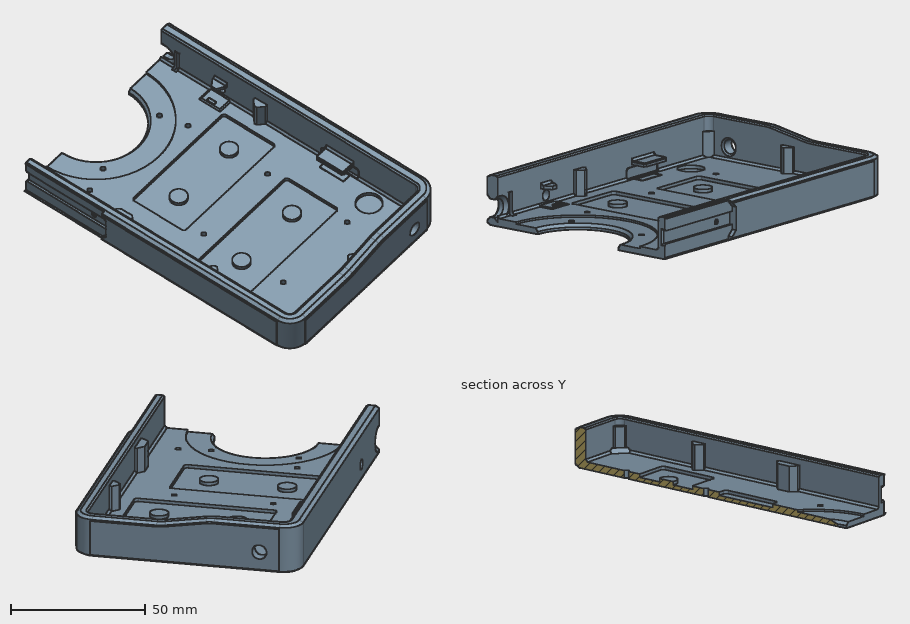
import cadquery as cq
import math

LENGTH = 129.2
WIDTH = 87.2
HIGH_TOP = 19.3
LOW_TOP = 16.0
PANEL_RAISE = 0.5
CORNER_RADIUS = 7.5
RAMP_HALF_LENGTH = 9.4
RAMP_BLEND_RADIUS = 19.0
EDGE_BEVEL_WIDTH = 1.5
EDGE_BEVEL_HEIGHT = 0.9

BACK = WIDTH / 2
FRONT = -WIDTH / 2
BODY_FRONT = FRONT + PANEL_RAISE
BODY_END = LENGTH - PANEL_RAISE

FLOOR = 3.1
INNER_END = 124.1
INNER_HALF_WIDTH = 38.6
INNER_CORNER_RADIUS = 2.6
FLOOR_BEVEL = 0.9
RIM_BEVEL_WIDTH = 0.8
RIM_BEVEL_HEIGHT = 0.5
OVERSHOOT = 1.3

PANEL_BOTTOM = 0.8
PANEL_TOP_DROP = EDGE_BEVEL_HEIGHT
PANEL_BEVEL = 0.45
END_PANEL_HALF_WIDTH = 36.2

RAIL_FACE = -41.7
RAIL_BOTTOM = 0.6
RAIL_TOP = 15.6
RAIL_SHOULDER = 37.5
RAIL_END = 39.7
RAIL_CORNER_BOTTOM = 1.7
RAIL_CORNER_TOP = 15.0
GROOVE_BOTTOM = 5.8
GROOVE_TOP = 10.9
GROOVE_DEPTH = 1.0
GROOVE_LEAD_IN = 0.6
DETENT_X = 31.7
DETENT_Z = 8.1
DETENT_DIAMETER = 2.0
DETENT_DEPTH = 0.8

OPENING_RADIUS = 19.4
OPENING_BEVEL_WIDTH = 1.0
OPENING_BEVEL_HEIGHT = 1.3
OPENING_RING_RADIUS = 29.7
OPENING_RING_DEPTH = 0.8

RECESS_DEPTH = 1.3
PIN_DIAMETER = 2.0
PIN_PITCH = 38.0
PIN_COLUMNS = 3
PIN_FIRST_X = 28.7
RING_PIN_X = 16.8
EXTRA_PIN = (20.0, -28.7)
POCKET_SIZE = (25.1, 54.5)
POCKET_CENTERS = [(47.7, 4.8), (85.7, -5.2)]
POCKET_CORNER_RADIUS = 1.3
PAD_DIAMETER = 7.0
PAD_SPACING = 30.0
DIMPLE_CENTER = (105.2, 31.4)
DIMPLE_DIAMETER = 10.2

POST_TOP = 13.0
POST_REACH = 3.4
POST_SLOPE = 2.3
POST_WIDTH = 5.7
WIDE_POST_WIDTH = 10.1
POST_X = 47.8
WIDE_POST_X = 42.9
SECOND_POST_X = 85.7
BACK_GUSSET_LEG = 3.0
FRONT_GUSSET_LEG = 4.3
GUSSET_FOOT_LEG = 6.6
GUSSET_FOOT_TOP = 4.8

CABLE_Z = 6.6
CABLE_RADIUS = 3.5
CABLE_END_CENTER_X = 1.7
CABLE_FLARE = 1.4
KEY_SLOT = (6.6, 8.7, 36.8, 39.8, 1.2, 11.8)
CLIP_X = 28.5
CLIP_ROOT_WIDTH = 6.0
CLIP_TIP_WIDTH = 2.3
CLIP_TIP_Y = 34.4
CLIP_BOTTOM = 9.5
CLIP_TOP = 10.9
BUTTON_DIAMETER = 4.0
CLIP_BASE = (23.7, 33.7, 31.8)
CLIP_BASE_HEIGHT = 0.4
CLIP_BASE_SLOPE = 60.0
CLIP_STUD = (26.6, 30.0, 32.6, 34.1)
CLIP_STUD_TOP = 4.0
SHELF = (79.0, 92.1, 32.2)
SHELF_BOTTOM = 8.5
SHELF_TOP = 10.0
SHELF_BEVEL = 0.4
SHELF_CORNER = 0.6
SHELF_MARK = (79.6, 91.0, 33.9)
SHELF_MARK_DEPTH = 0.3
WALL_RECESS = (76.3, 94.3, 37.5, 39.0, 3.4, 7.5)
WALL_RECESS_CORNER = 1.3

PORT_Y = 28.7
PORT_Z = 8.1
PORT_DIAMETER = 5.5
PORT_RIM_DIAMETER = 7.0


def box(x0, x1, y0, y1, z0, z1):
    """Box given by its limits along each axis."""
    return cq.Workplane("XY").box(x1 - x0, y1 - y0, z1 - z0, centered=False).translate((x0, y0, z0))


def prism(points, bottom, top):
    """Upright prism on a plan outline."""
    return cq.Workplane("XY").workplane(offset=bottom).polyline(points).close().extrude(top - bottom)


def rounded_plan(start, end, front, back, radius, bottom, top):
    """Upright block with both corners at its closed end rounded."""
    return box(start, end, front, back, bottom, top).edges("|Z and >X").fillet(radius)


def side_profile(drop=0.0, bottom=0.0):
    """Side outline with the ramp from the high back to the low front, swept along X."""
    turn = math.atan((HIGH_TOP - LOW_TOP) / (2 * RAMP_HALF_LENGTH))
    tangent = RAMP_BLEND_RADIUS * math.tan(turn / 2)
    along = tangent * math.cos(turn)
    rise = tangent * math.sin(turn)
    sag = RAMP_BLEND_RADIUS * (1 - math.cos(turn / 2))
    bow = RAMP_BLEND_RADIUS * math.sin(turn / 2)
    high = HIGH_TOP - drop
    low = LOW_TOP - drop
    ramp = RAMP_HALF_LENGTH
    return (
        cq.Workplane("YZ")
        .moveTo(FRONT, bottom)
        .lineTo(BACK, bottom)
        .lineTo(BACK, high)
        .lineTo(ramp + tangent, high)
        .threePointArc((ramp + tangent - bow, high - sag), (ramp - along, high - rise))
        .lineTo(along - ramp, low + rise)
        .threePointArc((bow - ramp - tangent, low + sag), (-ramp - tangent, low))
        .lineTo(FRONT, low)
        .close()
        .extrude(LENGTH)
    )


def make_shell():
    """Outer body with bevelled edges, hollowed out and open at X = 0."""
    body = rounded_plan(0, BODY_END, BODY_FRONT, BACK, CORNER_RADIUS, 0, HIGH_TOP)
    body = body.intersect(side_profile())
    body = body.faces("<Z").edges(">Y").chamfer(EDGE_BEVEL_WIDTH, EDGE_BEVEL_HEIGHT)
    body = body.faces(">Z").edges(">Y").chamfer(EDGE_BEVEL_WIDTH, EDGE_BEVEL_HEIGHT)

    cavity = rounded_plan(
        -OVERSHOOT, INNER_END, -INNER_HALF_WIDTH, INNER_HALF_WIDTH,
        INNER_CORNER_RADIUS, FLOOR, HIGH_TOP + OVERSHOOT,
    )
    cavity = cavity.faces("<Z").edges(">Y").chamfer(FLOOR_BEVEL)
    shell = body.cut(cavity)
    inner_rim = cq.selectors.NearestToPointSelector((LENGTH / 2, INNER_HALF_WIDTH, HIGH_TOP))
    return shell.edges(inner_rim).chamfer(RIM_BEVEL_WIDTH, RIM_BEVEL_HEIGHT)


def make_panels():
    """Thin raised panels on the front wall and on the closed end."""
    straight_end = BODY_END - CORNER_RADIUS
    front_panel = box(
        RAIL_SHOULDER, straight_end, FRONT, BODY_FRONT,
        PANEL_BOTTOM, LOW_TOP - PANEL_TOP_DROP,
    )
    front_panel = front_panel.faces("<Y").edges("|X").chamfer(PANEL_BEVEL)
    end_strip = box(
        BODY_END, LENGTH, -END_PANEL_HALF_WIDTH, END_PANEL_HALF_WIDTH,
        PANEL_BOTTOM, HIGH_TOP,
    )
    end_panel = side_profile(PANEL_TOP_DROP, PANEL_BOTTOM).intersect(end_strip)
    end_panel = end_panel.faces(">X").edges("not |Z").chamfer(PANEL_BEVEL)
    return front_panel.union(end_panel)


def cut_rail(part):
    """Recess for a guide on the front wall, with a groove and a detent."""
    outline = [
        (-OVERSHOOT, RAIL_BOTTOM),
        (RAIL_SHOULDER, RAIL_BOTTOM),
        (RAIL_SHOULDER, RAIL_CORNER_BOTTOM),
        (RAIL_END, RAIL_CORNER_BOTTOM + RAIL_END - RAIL_SHOULDER),
        (RAIL_END, RAIL_CORNER_TOP - RAIL_END + RAIL_SHOULDER),
        (RAIL_SHOULDER, RAIL_CORNER_TOP),
        (RAIL_SHOULDER, RAIL_TOP),
        (-OVERSHOOT, RAIL_TOP),
    ]
    recess = (
        cq.Workplane("XZ", origin=(0, RAIL_FACE, 0)).polyline(outline).close().extrude(RAIL_FACE - FRONT)
    )
    groove = box(0, RAIL_END, RAIL_FACE, RAIL_FACE + GROOVE_DEPTH, GROOVE_BOTTOM, GROOVE_TOP)
    groove_height = GROOVE_TOP - GROOVE_BOTTOM
    lead_in = (
        cq.Workplane("YZ", origin=(0, RAIL_FACE, (GROOVE_BOTTOM + GROOVE_TOP) / 2))
        .rect(2 * (GROOVE_DEPTH + GROOVE_LEAD_IN), groove_height + 2 * GROOVE_LEAD_IN)
        .workplane(offset=GROOVE_LEAD_IN)
        .rect(2 * GROOVE_DEPTH, groove_height)
        .loft()
    )
    detent = (
        cq.Workplane("XZ", origin=(DETENT_X, RAIL_FACE + GROOVE_DEPTH, DETENT_Z))
        .circle(DETENT_DIAMETER / 2)
        .extrude(-DETENT_DEPTH)
    )
    return part.cut(recess).cut(groove).cut(lead_in).cut(detent)


def cut_opening(part):
    """Half-round opening through the floor, with a bevelled rim and a shallow ring around it."""
    ring_floor = FLOOR - OPENING_RING_DEPTH
    hole = cq.Workplane("XY").circle(OPENING_RADIUS).extrude(FLOOR)
    bevel = (
        cq.Workplane("XY", origin=(0, 0, ring_floor - OPENING_BEVEL_HEIGHT))
        .circle(OPENING_RADIUS)
        .workplane(offset=OPENING_BEVEL_HEIGHT)
        .circle(OPENING_RADIUS + OPENING_BEVEL_WIDTH)
        .loft()
    )
    ring = (
        cq.Workplane("XY", origin=(0, 0, ring_floor))
        .circle(OPENING_RING_RADIUS)
        .extrude(OPENING_RING_DEPTH)
    )
    return part.cut(hole).cut(bevel).cut(ring)


def cut_floor(part):
    """Pin holes, round dimple and two pockets that keep pairs of round pads."""
    columns = [PIN_FIRST_X + i * PIN_PITCH for i in range(PIN_COLUMNS)]
    pins = [(x, side * PIN_PITCH / 2) for x in columns for side in (-1, 1)]
    pins.remove((PIN_FIRST_X, -PIN_PITCH / 2))
    pins += [(RING_PIN_X, -RING_PIN_X), (RING_PIN_X, RING_PIN_X), EXTRA_PIN]
    part = part.cut(cq.Workplane("XY").pushPoints(pins).circle(PIN_DIAMETER / 2).extrude(FLOOR))

    recess = cq.Workplane("XY", origin=(0, 0, FLOOR - RECESS_DEPTH))
    part = part.cut(recess.moveTo(*DIMPLE_CENTER).circle(DIMPLE_DIAMETER / 2).extrude(RECESS_DEPTH))
    for x, y in POCKET_CENTERS:
        pocket = recess.moveTo(x, y).rect(*POCKET_SIZE).extrude(RECESS_DEPTH)
        pocket = pocket.edges("|Z").fillet(POCKET_CORNER_RADIUS)
        pad_spots = [(x, y - PAD_SPACING / 2), (x, y + PAD_SPACING / 2)]
        pads = recess.pushPoints(pad_spots).circle(PAD_DIAMETER / 2).extrude(RECESS_DEPTH)
        part = part.cut(pocket.cut(pads))
    return part


def make_post(width):
    """Pointed post standing on the floor, with its root on the XZ plane and its tip toward -Y."""
    half = width / 2
    shoulder = POST_SLOPE - POST_REACH
    outline = [
        (-half, OVERSHOOT),
        (-half, shoulder),
        (POST_SLOPE - half, -POST_REACH),
        (half - POST_SLOPE, -POST_REACH),
        (half, shoulder),
        (half, OVERSHOOT),
    ]
    return prism(outline, FLOOR, POST_TOP)


def gusset_outline(side, leg):
    """Triangle in the inner corner at the closed end, on the side given by its sign."""
    x = INNER_END + OVERSHOOT
    y = INNER_HALF_WIDTH + OVERSHOOT
    full_leg = leg + 2 * OVERSHOOT
    return [(x, side * y), (x - full_leg, side * y), (x, side * (y - full_leg))]


def add_posts(part):
    """Posts along the walls and gussets in the two inner corners."""
    back_post = make_post(POST_WIDTH)
    posts = [
        back_post.translate((POST_X, INNER_HALF_WIDTH, 0)),
        back_post.rotate((0, 0, 0), (0, 0, 1), -90).translate((INNER_END, 0, 0)),
    ]
    for x, width in [(WIDE_POST_X, WIDE_POST_WIDTH), (SECOND_POST_X, POST_WIDTH)]:
        front_post = make_post(width).rotate((0, 0, 0), (0, 0, 1), 180)
        posts.append(front_post.translate((x, -INNER_HALF_WIDTH, 0)))
    posts.append(prism(gusset_outline(1, BACK_GUSSET_LEG), FLOOR, POST_TOP))
    corner_block = box(
        INNER_END - POST_REACH, INNER_END + OVERSHOOT,
        -INNER_HALF_WIDTH - OVERSHOOT, POST_REACH - INNER_HALF_WIDTH, FLOOR, POST_TOP,
    )
    posts.append(prism(gusset_outline(-1, FRONT_GUSSET_LEG), FLOOR, POST_TOP).intersect(corner_block))
    foot = (
        cq.Workplane("XY", origin=(0, 0, FLOOR))
        .polyline(gusset_outline(-1, GUSSET_FOOT_LEG))
        .close()
        .workplane(offset=GUSSET_FOOT_TOP - FLOOR)
        .polyline(gusset_outline(-1, FRONT_GUSSET_LEG))
        .close()
        .loft(ruled=True)
    )
    posts.append(foot)
    for post in posts:
        part = part.union(post)
    return part


def cable_slot(y, radius):
    """Slot outline on a plane facing -Y, round at its far end and reaching past the open end."""
    return (
        cq.Workplane("XZ", origin=(0, y, CABLE_Z))
        .moveTo(-OVERSHOOT, radius)
        .lineTo(CABLE_END_CENTER_X, radius)
        .threePointArc((CABLE_END_CENTER_X + radius, 0), (CABLE_END_CENTER_X, -radius))
        .lineTo(-OVERSHOOT, -radius)
        .close()
    )


def cut_cable_entry(part):
    """Slot through the back wall at the open end, flared at both faces, and the key slot beside it."""
    part = part.cut(cable_slot(BACK, CABLE_RADIUS).extrude(BACK - INNER_HALF_WIDTH))
    for wide_y, inward in [(BACK, -1), (INNER_HALF_WIDTH, 1)]:
        wide = cable_slot(wide_y, CABLE_RADIUS + CABLE_FLARE).val()
        narrow = cable_slot(wide_y + inward * CABLE_FLARE, CABLE_RADIUS).val()
        part = part.cut(cq.Workplane(cq.Solid.makeLoft([wide, narrow], True)))
    return part.cut(box(*KEY_SLOT))


def root_bevel(x0, x1, z):
    """Bevel that strengthens the joint between the back wall and a top face at the given height."""
    y = INNER_HALF_WIDTH
    outline = [
        (y - FLOOR_BEVEL, z),
        (y, z + FLOOR_BEVEL),
        (y + OVERSHOOT, z + FLOOR_BEVEL),
        (y + OVERSHOOT, z),
    ]
    return cq.Workplane("YZ", origin=(x0, 0, 0)).polyline(outline).close().extrude(x1 - x0)


def add_clip(part):
    """Hook over a button hole in the back wall, above a low base with a small stud."""
    x0, x1, y0 = CLIP_BASE
    base = (
        cq.Workplane("XY", origin=((x0 + x1) / 2, (y0 + BACK) / 2, FLOOR))
        .rect(x1 - x0, BACK - y0)
        .extrude(CLIP_BASE_HEIGHT, taper=CLIP_BASE_SLOPE)
    )
    base = base.intersect(box(x0, x1, y0, INNER_HALF_WIDTH + OVERSHOOT, FLOOR, HIGH_TOP))
    hook_outline = [
        (CLIP_X - CLIP_ROOT_WIDTH / 2, INNER_HALF_WIDTH + OVERSHOOT),
        (CLIP_X - CLIP_ROOT_WIDTH / 2, INNER_HALF_WIDTH - OVERSHOOT),
        (CLIP_X - CLIP_TIP_WIDTH / 2, CLIP_TIP_Y),
        (CLIP_X + CLIP_TIP_WIDTH / 2, CLIP_TIP_Y),
        (CLIP_X + CLIP_ROOT_WIDTH / 2, INNER_HALF_WIDTH - OVERSHOOT),
        (CLIP_X + CLIP_ROOT_WIDTH / 2, INNER_HALF_WIDTH + OVERSHOOT),
    ]
    button = (
        cq.Workplane("XZ", origin=(CLIP_X, BACK, CABLE_Z))
        .circle(BUTTON_DIAMETER / 2)
        .extrude(BACK - INNER_HALF_WIDTH)
    )
    hook = prism(hook_outline, CLIP_BOTTOM, CLIP_TOP)
    hook = hook.union(root_bevel(CLIP_X - CLIP_ROOT_WIDTH / 2, CLIP_X + CLIP_ROOT_WIDTH / 2, CLIP_TOP))
    stud = box(*CLIP_STUD, FLOOR, CLIP_STUD_TOP)
    return part.union(base).union(stud).union(hook).cut(button)


def add_shelf(part):
    """Shelf on the back wall, the wall recess below it, and a shallow mark sunk in the floor."""
    x0, x1, y0 = SHELF
    shelf = box(x0, x1, y0, INNER_HALF_WIDTH + OVERSHOOT, SHELF_BOTTOM, SHELF_TOP)
    shelf = shelf.edges("|Z and <Y").chamfer(SHELF_CORNER)
    shelf = shelf.faces(">Z").edges("not >Y").chamfer(SHELF_BEVEL)
    shelf = shelf.union(root_bevel(x0, x1, SHELF_TOP))
    recess = box(*WALL_RECESS).edges("|Y and >Z").fillet(WALL_RECESS_CORNER)
    mark_x0, mark_x1, mark_y0 = SHELF_MARK
    mark = box(mark_x0, mark_x1, mark_y0, INNER_HALF_WIDTH - FLOOR_BEVEL, FLOOR - SHELF_MARK_DEPTH, FLOOR)
    return part.cut(recess).union(shelf).cut(mark)


def cut_port(part):
    """Round hole through the closed end, bevelled on the inside."""
    start = cq.Workplane("YZ", origin=(INNER_END, PORT_Y, PORT_Z))
    hole = start.circle(PORT_DIAMETER / 2).extrude(LENGTH - INNER_END)
    rim = (
        start.circle(PORT_RIM_DIAMETER / 2)
        .workplane(offset=(PORT_RIM_DIAMETER - PORT_DIAMETER) / 2)
        .circle(PORT_DIAMETER / 2)
        .loft()
    )
    return part.cut(hole).cut(rim)


result = make_shell().union(make_panels())
result = cut_rail(result)
result = cut_opening(result)
result = cut_floor(result)
result = add_posts(result)
result = cut_cable_entry(result)
result = add_clip(result)
result = add_shelf(result)
result = cut_port(result)